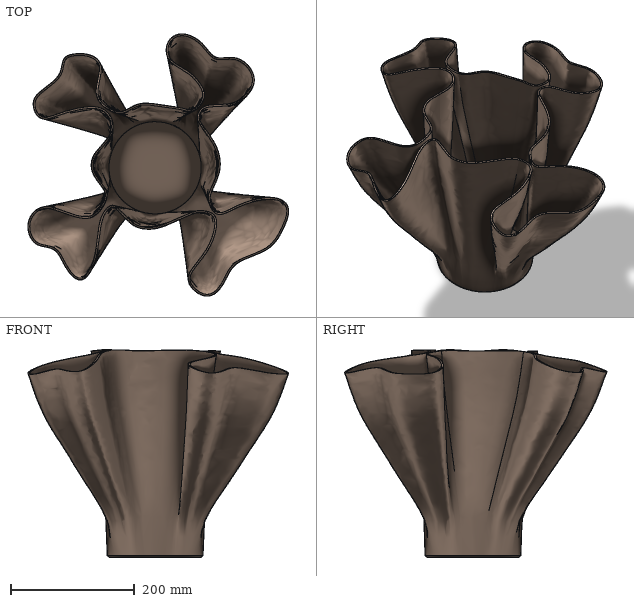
import cadquery as cq
import math

height = 335.8
base_radius = 77.5
wall = 3.0
floor_thickness = 3.0
bottom_chamfer = 3.5

dome_radius = 593
dome_crown = height + 6.8

lobe_base_angle = 62
wall_base_angle = 90 - lobe_base_angle
smoothing_passes = 4

flare_stages = [
    (0, 0),
    (0.14, 0.06),
    (0.28, 0.19),
    (0.43, 0.39),
    (0.57, 0.57),
    (0.71, 0.75),
    (0.86, 0.9),
    (1, 1),
]

east_wall = [
    (89.0, -51.0), (96.5, -27.0), (105.0, 0.0), (100.0, 32.0), (79.5, 64.8),
]
north_east_lobe = [
    (71.0, 81.7), (79.5, 95.5), (118.5, 100.5), (145.5, 114.0), (159.5, 136.0), (154.5, 159.5),
    (128.7, 178.0), (98.2, 178.5), (76.2, 200.5), (41.5, 216.5), (20.0, 200.5), (23.5, 173.5),
    (51.0, 154.0), (69.5, 136.0), (76.5, 115.5), (61.0, 94.5),
]
north_wall = [
    (37.3, 98.0), (3.0, 103.0), (-27.5, 103.0), (-49.5, 92.5),
]
north_west_lobe = [
    (-64.8, 92.0), (-85.5, 105.5), (-92.5, 125.8), (-87.2, 163.0), (-99.0, 179.5), (-123.0, 184.5),
    (-146.5, 177.0), (-154.0, 153.0), (-180.5, 127.5), (-197.0, 105.5), (-185.5, 80.5), (-153.3, 85.5),
    (-109.2, 95.5), (-85.5, 92.5), (-72.5, 76.5), (-73.3, 54.0),
]
west_wall = [
    (-85.5, 37.3), (-99.0, 20.5), (-102.5, -3.5), (-89.0, -27.0),
]
south_west_lobe = [
    (-80.5, -44.0), (-91.5, -68.0), (-109.2, -78.8), (-143.0, -71.5), (-180.5, -63.0), (-201.0, -78.5),
    (-205.0, -102.0), (-190.5, -124.0), (-163.5, -132.5), (-143.0, -163.0), (-119.5, -181.2), (-99.0, -156.2),
    (-90.5, -115.5), (-82.0, -76.5), (-68.0, -63.5),
]
south_wall = [
    (-54.5, -75.0), (-34.5, -93.5), (-4.0, -99.0), (23.5, -91.0), (51.0, -78.8),
]
south_east_lobe = [
    (74.5, -72.0), (93.0, -78.5), (95.0, -102.0), (78.0, -139.5), (54.0, -173.5), (59.3, -194.0),
    (84.5, -207.5), (108.5, -190.5), (130.5, -156.2), (180.0, -132.5), (207.0, -98.5), (215.0, -64.8),
    (197.0, -49.0), (156.2, -52.5), (125.5, -64.8), (100.0, -71.5),
]

rim_stretches = [
    (east_wall, wall_base_angle),
    (north_east_lobe, lobe_base_angle),
    (north_wall, wall_base_angle),
    (north_west_lobe, lobe_base_angle),
    (west_wall, wall_base_angle),
    (south_west_lobe, lobe_base_angle),
    (south_wall, wall_base_angle),
    (south_east_lobe, lobe_base_angle),
]
rim = [point for stretch, _ in rim_stretches for point in stretch]


def curve_parameters():
    """Centripetal spline parameter of every rim point, ending at 1 on closure."""
    totals = [0]
    for i in range(len(rim)):
        totals.append(totals[-1] + math.sqrt(math.dist(rim[i], rim[(i + 1) % len(rim)])))
    return [total / totals[-1] for total in totals]


def base_angles():
    """Angle on the round base, in degrees, below every rim point."""
    parameters = curve_parameters()
    angles = []
    start = -wall_base_angle / 2
    first = 0
    for stretch, span in rim_stretches:
        last = first + len(stretch)
        stretch_length = parameters[last] - parameters[first]
        for i in range(first, last):
            angles.append(start + span * (parameters[i] - parameters[first]) / stretch_length)
        start += span
        first = last
    for _ in range(smoothing_passes):
        before = [angles[-1] - 360] + angles[:-1]
        after = angles[1:] + [angles[0] + 360]
        angles = [(a + 2 * b + c) / 4 for a, b, c in zip(before, angles, after)]
    return angles


def rim_height(x, y):
    """Height of the rim sphere above a plan point."""
    return dome_crown - dome_radius + math.sqrt(dome_radius**2 - x**2 - y**2)


def flare_points(height_share, flare_share, bottom):
    """Outer skin points of one flare stage, none lower than the bottom height."""
    points = []
    for (x, y), angle in zip(rim, base_angles()):
        base_x = base_radius * math.cos(math.radians(angle))
        base_y = base_radius * math.sin(math.radians(angle))
        z = max(bottom, height_share * rim_height(x, y))
        points.append(cq.Vector(base_x + flare_share * (x - base_x), base_y + flare_share * (y - base_y), z))
    return points


def outline_slopes(points):
    """Rate of change per unit of spline parameter, by a parabola through three points."""
    parameters = curve_parameters()
    slopes = []
    for i, point in enumerate(points):
        step_before = parameters[i] - parameters[i - 1] if i else 1 - parameters[-2]
        step_after = parameters[i + 1] - parameters[i]
        rate_before = (point - points[i - 1]) / step_before
        rate_after = (points[(i + 1) % len(points)] - point) / step_after
        total = step_before + step_after
        slopes.append(rate_before * (step_after / total) + rate_after * (step_before / total))
    return slopes


def inset_points(points, distance):
    """Move a counter-clockwise outline inward in plan, square to its local direction."""
    moved = []
    for point, slope in zip(points, outline_slopes(points)):
        inward = cq.Vector(-slope.y, slope.x, 0).normalized()
        moved.append(point + inward * distance)
    return moved


def outline_edges(outline):
    """Closed outline: one spline per rim stretch, joined tangentially."""
    points = outline + outline[:1]
    slopes = outline_slopes(outline)
    slopes.append(slopes[0])
    parameters = curve_parameters()
    edges = []
    first = 0
    for stretch, _ in rim_stretches:
        last = first + len(stretch)
        edges.append(
            cq.Edge.makeSpline(
                points[first : last + 1],
                tangents=[slopes[first], slopes[last]],
                scale=False,
                parameters=parameters[first : last + 1],
            )
        )
        first = last
    return edges


def skin_stages(inset, bottom):
    """Edges of every flare stage of a skin, from its bottom to the rim."""
    return [
        outline_edges(inset_points(flare_points(height_share, flare_share, bottom), inset))
        for height_share, flare_share in flare_stages
    ]


def skin_faces(stages):
    """Smooth faces through all stages of a skin."""
    wires = [cq.Wire.assembleEdges(edges) for edges in stages]
    return cq.occ_impl.shapes.loft(wires, cap=False).Faces()


def band_faces(edges, other_edges):
    """Straight-ruled faces between two matching outlines."""
    return [cq.Face.makeRuledSurface(edge, other) for edge, other in zip(edges, other_edges)]


def flat_face(edges):
    """Plane face inside a level outline."""
    return cq.Face.makeFromWires(cq.Wire.assembleEdges(edges))


outer_stages = skin_stages(0, bottom_chamfer)
inner_stages = skin_stages(wall, floor_thickness)
foot_edges = outline_edges(inset_points(flare_points(0, 0, 0), bottom_chamfer))

faces = skin_faces(outer_stages) + skin_faces(inner_stages)
faces += band_faces(outer_stages[-1], inner_stages[-1])
faces += band_faces(foot_edges, outer_stages[0])
faces += [flat_face(foot_edges), flat_face(inner_stages[0])]

result = cq.Workplane(obj=cq.occ_impl.shapes.solid(cq.occ_impl.shapes.shell(faces)))